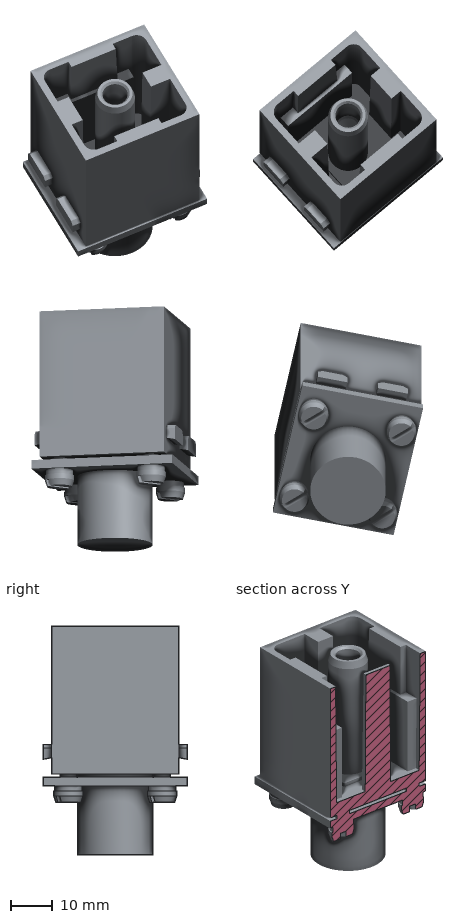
import cadquery as cq
import math

TOTAL_HEIGHT = 54.5
BODY_BOTTOM = 19.3
PLATE_TOP = 18.55
PLATE_THICKNESS = 2.05
PLATE_BOTTOM = PLATE_TOP - PLATE_THICKNESS

WIDTH_X = 29.4
BODY_DEPTH_Y = 30.3
PLATE_DEPTH_Y = 34.4
BARREL_DIAMETER = 18.0

CAVITY_FLOOR = 22.9
LEDGE_TOP = 41.8
CAVITY_HALF_X = 12.95
CAVITY_BACK_Y = 13.5
CAVITY_FRONT_Y = -13.4
CAVITY_RADIUS = 2.5
WALL_DRAFT = 0.3

BACK_KEY_HALF_WIDTH = 2.3
BACK_KEY_TIP_Y = 8.45
FRONT_KEY_HALF_WIDTH = 3.75
FRONT_KEY_TIP_Y = -10.45
KEY_SIDE_DRAFT = 0.2
RIB_HALF_LENGTH = 5.9
RIB_TIP_X = 11.35
LEDGE_TIP_X = 10.15
LEDGE_HALF_LENGTH = 10.1

PAD_SIZE = 12.95
PAD_HEIGHT = 1.0
PAD_RADIUS = 0.45
PIN_TOP = 54.25
PIN_DIAMETER = 9.5
PIN_TIP_DIAMETER = 8.4
PIN_TAPER_LENGTH = 1.75
BORE_MOUTH_DIAMETER = 7.0
BORE_DIAMETER = 6.0
BORE_END_DIAMETER = 5.0
BORE_DEPTH = 10.9
BORE_CONE_DEPTH = 1.45

TAB_SPACING = 14.7
TAB_TOP = 26.4
TAB_HEIGHT = 3.6
TAB_UNDERCUT = 0.4
TAB_CHAMFER_HEIGHT = 0.9
FRONT_TAB_WIDTH = 9.0
FRONT_TAB_CHAMFER = 0.9
BACK_TAB_WIDTH = 7.2
BACK_TAB_CHAMFER = 1.15

SCREW_X = 10.7
SCREW_Y = 11.15
SCREW_SHANK_DIAMETER = 4.0
SCREW_WASHER_DIAMETER = 6.5
SCREW_HEAD_DIAMETER = 7.0
SCREW_END_DIAMETER = 6.0
SCREW_HEAD_TOP = 15.2
SCREW_TAPER_TOP = 14.0
SCREW_BOTTOM = 12.55
SCREW_SLOT_WIDTH = 1.15
SCREW_SLOT_ANGLE = -45.0


def box(x_min, x_max, y_min, y_max, z_min, z_max):
    return (
        cq.Workplane("XY")
        .box(x_max - x_min, y_max - y_min, z_max - z_min, centered=False)
        .translate((x_min, y_min, z_min))
    )


def cylinder(diameter, z_min, z_max):
    return cq.Workplane("XY").workplane(offset=z_min).circle(diameter / 2).extrude(z_max - z_min)


def rectangle_wire(x_min, x_max, y_min, y_max, z):
    corners = [(x_min, y_min, z), (x_max, y_min, z), (x_max, y_max, z), (x_min, y_max, z)]
    return cq.Wire.makePolygon([cq.Vector(*corner) for corner in corners], close=True)


def tapered_block(lower, upper, z_min, z_max):
    """Ruled block between two (x_min, x_max, y_min, y_max) rectangles."""
    wires = [rectangle_wire(*lower, z_min), rectangle_wire(*upper, z_max)]
    return cq.Workplane(obj=cq.Solid.makeLoft(wires, True))


def cavity():
    """Rounded rectangular pocket with the same draft on all four walls."""
    depth = TOTAL_HEIGHT - CAVITY_FLOOR
    opening = (
        cq.Sketch()
        .rect(2 * CAVITY_HALF_X, CAVITY_BACK_Y - CAVITY_FRONT_Y)
        .vertices()
        .fillet(CAVITY_RADIUS)
    )
    return (
        cq.Workplane("XY")
        .workplane(offset=TOTAL_HEIGHT)
        .center(0, (CAVITY_BACK_Y + CAVITY_FRONT_Y) / 2)
        .placeSketch(opening)
        .extrude(-depth, taper=math.degrees(math.atan(WALL_DRAFT / depth)))
    )


def wall_key(half_width, tip_y):
    """Key on the +Y wall, growing wider and deeper toward the cavity floor."""
    floor_half_width = half_width + KEY_SIDE_DRAFT
    wall_y = BODY_DEPTH_Y / 2
    lower = (-floor_half_width, floor_half_width, tip_y - WALL_DRAFT, wall_y)
    upper = (-half_width, half_width, tip_y, wall_y)
    return tapered_block(lower, upper, CAVITY_FLOOR, TOTAL_HEIGHT)


def side_rib_and_ledge():
    """Rib on the +X wall, standing on a longer and wider ledge."""
    wall_x = WIDTH_X / 2
    base_half_length = RIB_HALF_LENGTH + WALL_DRAFT
    lower = (RIB_TIP_X - WALL_DRAFT, wall_x, -base_half_length, base_half_length)
    upper = (RIB_TIP_X, wall_x, -RIB_HALF_LENGTH, RIB_HALF_LENGTH)
    rib = tapered_block(lower, upper, LEDGE_TOP, TOTAL_HEIGHT)
    ledge = box(LEDGE_TIP_X, wall_x, -LEDGE_HALF_LENGTH, LEDGE_HALF_LENGTH, CAVITY_FLOOR, LEDGE_TOP)
    return ledge.union(rib)


def housing():
    half_x = WIDTH_X / 2
    half_y = BODY_DEPTH_Y / 2
    back_key = wall_key(BACK_KEY_HALF_WIDTH, BACK_KEY_TIP_Y)
    front_key = wall_key(FRONT_KEY_HALF_WIDTH, -FRONT_KEY_TIP_Y).mirror("XZ")
    side = side_rib_and_ledge()
    shell = box(-half_x, half_x, -half_y, half_y, BODY_BOTTOM, TOTAL_HEIGHT).cut(cavity())
    return shell.union(back_key).union(front_key).union(side).union(side.mirror("YZ"))


def contact_pin():
    """Bored pin on its pad, the bore ending in a step and a drill cone."""
    pad = (
        cq.Workplane("XY").workplane(offset=CAVITY_FLOOR)
        .rect(PAD_SIZE, PAD_SIZE).extrude(PAD_HEIGHT)
        .edges("|Z").fillet(PAD_RADIUS)
    )
    mouth_depth = (BORE_MOUTH_DIAMETER - BORE_DIAMETER) / 2
    step_depth = (BORE_DIAMETER - BORE_END_DIAMETER) / 2
    bore_bottom = PIN_TOP - BORE_DEPTH
    half_profile = [
        (0, CAVITY_FLOOR),
        (PIN_DIAMETER / 2, CAVITY_FLOOR),
        (PIN_DIAMETER / 2, PIN_TOP - PIN_TAPER_LENGTH),
        (PIN_TIP_DIAMETER / 2, PIN_TOP),
        (BORE_MOUTH_DIAMETER / 2, PIN_TOP),
        (BORE_DIAMETER / 2, PIN_TOP - mouth_depth),
        (BORE_DIAMETER / 2, bore_bottom + step_depth),
        (BORE_END_DIAMETER / 2, bore_bottom),
        (0, bore_bottom - BORE_CONE_DEPTH),
    ]
    pin = cq.Workplane("XZ").polyline(half_profile).close().revolve(360, (0, 0), (0, 1))
    return pad.union(pin)


def locking_tab(width, chamfer_width):
    """Tab on the +Y face, with bevelled upper ends and a hooked underside."""
    body_y = BODY_DEPTH_Y / 2
    tip_y = PLATE_DEPTH_Y / 2
    tab_bottom = TAB_TOP - TAB_HEIGHT
    chamfer_z = TAB_TOP - TAB_CHAMFER_HEIGHT
    half_width = width / 2
    outline = [
        (-half_width, tab_bottom),
        (half_width, tab_bottom),
        (half_width, chamfer_z),
        (half_width - chamfer_width, TAB_TOP),
        (-half_width + chamfer_width, TAB_TOP),
        (-half_width, chamfer_z),
    ]
    tab = cq.Workplane("XZ").polyline(outline).close().extrude(-tip_y)
    hook_section = [
        (body_y, TAB_TOP),
        (tip_y, TAB_TOP),
        (tip_y, tab_bottom),
        (body_y, tab_bottom + TAB_UNDERCUT),
    ]
    hook = cq.Workplane("YZ").polyline(hook_section).close().extrude(half_width, both=True)
    return tab.intersect(hook)


def screw():
    """Screw hanging below the plate, its shank crossing the gap up to the housing."""
    head = (
        cq.Workplane("XY").workplane(offset=SCREW_BOTTOM).circle(SCREW_END_DIAMETER / 2)
        .workplane(offset=SCREW_TAPER_TOP - SCREW_BOTTOM).circle(SCREW_HEAD_DIAMETER / 2)
        .loft(ruled=True)
    )
    slot = (
        cq.Workplane("XY").workplane(offset=SCREW_BOTTOM)
        .rect(SCREW_HEAD_DIAMETER, SCREW_SLOT_WIDTH).extrude(SCREW_TAPER_TOP - SCREW_BOTTOM)
        .rotate((0, 0, 0), (0, 0, 1), SCREW_SLOT_ANGLE)
    )
    return (
        head.cut(slot)
        .union(cylinder(SCREW_HEAD_DIAMETER, SCREW_TAPER_TOP, SCREW_HEAD_TOP))
        .union(cylinder(SCREW_WASHER_DIAMETER, SCREW_HEAD_TOP, PLATE_BOTTOM))
        .union(cylinder(SCREW_SHANK_DIAMETER, PLATE_BOTTOM, BODY_BOTTOM))
    )


half_plate_x = WIDTH_X / 2
half_plate_y = PLATE_DEPTH_Y / 2
plate = box(-half_plate_x, half_plate_x, -half_plate_y, half_plate_y, PLATE_BOTTOM, PLATE_TOP)
barrel = cylinder(BARREL_DIAMETER, 0, BODY_BOTTOM)

result = housing().union(contact_pin()).union(plate).union(barrel)

back_tab = locking_tab(BACK_TAB_WIDTH, BACK_TAB_CHAMFER)
front_tab = locking_tab(FRONT_TAB_WIDTH, FRONT_TAB_CHAMFER).mirror("XZ")
for x_side in (-1, 1):
    tab_x = x_side * TAB_SPACING / 2
    result = result.union(back_tab.translate((tab_x, 0, 0)))
    result = result.union(front_tab.translate((tab_x, 0, 0)))

for x_side in (-1, 1):
    for y_side in (-1, 1):
        result = result.union(screw().translate((x_side * SCREW_X, y_side * SCREW_Y, 0)))